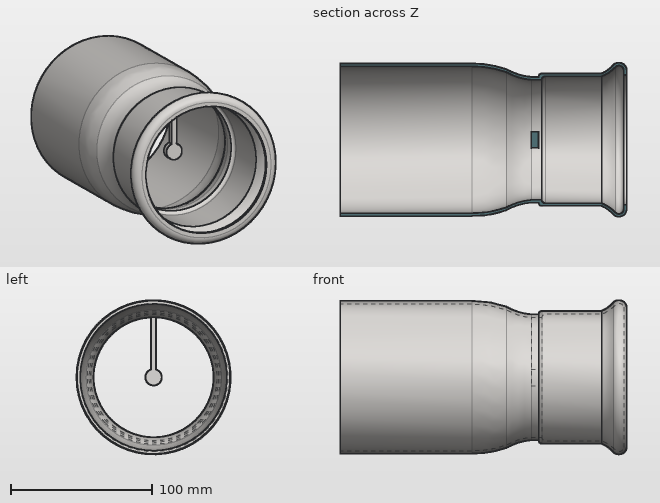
import cadquery as cq
import math

length = 203.0
pipe_end = 93.2
shoulder_end = 117.5
neck_start = 135.2
socket_start = 140.5
flare_start = 185.1

pipe_radius = 54.2
shoulder_radius = 50.1
neck_radius = 44.7
socket_radius = 47.0
wall = 2.2
neck_sagitta = 1.0

rim_radius = 54.7
bead_radius = 5.7
bead_x = length - bead_radius
bead_center_radius = rim_radius - bead_radius
flare_angle = math.radians(135)
flare_sagitta = 0.6
mouth_radius = 45.9

tab_disc_radius = 5.9
tab_stem_width = 3.7


def bead_point(radius, angle):
    """Point on a bead circle, with the angle measured from +X."""
    return (
        bead_x + radius * math.cos(angle),
        bead_center_radius + radius * math.sin(angle),
    )


def bowed_midpoint(start, end, sagitta):
    """Arc midpoint, bowed toward the axis from the chord."""
    dx = end[0] - start[0]
    dy = end[1] - start[1]
    chord = math.hypot(dx, dy)
    return (
        (start[0] + end[0]) / 2 + sagitta * dy / chord,
        (start[1] + end[1]) / 2 - sagitta * dx / chord,
    )


def revolve_profile(inset):
    """Solid of revolution of the fitting's form, moved inward by inset."""
    bead = bead_radius - inset
    shoulder = (shoulder_end, shoulder_radius - inset)
    neck = (neck_start, neck_radius - inset)
    corner_radius = socket_radius - neck_radius
    corner_x = socket_start + inset
    corner_mid = (
        corner_x + corner_radius * (1 - math.sqrt(0.5)),
        neck_radius - inset + corner_radius * math.sqrt(0.5),
    )
    socket_corner = (corner_x + corner_radius, socket_radius - inset)
    flare = (flare_start, socket_radius - inset)
    bead_start = bead_point(bead, flare_angle)
    return (
        cq.Workplane("XY")
        .lineTo(0, pipe_radius - inset)
        .lineTo(pipe_end, pipe_radius - inset)
        .tangentArcPoint(shoulder, relative=False)
        .threePointArc(bowed_midpoint(shoulder, neck, neck_sagitta), neck)
        .lineTo(corner_x, neck_radius - inset)
        .threePointArc(corner_mid, socket_corner)
        .lineTo(*flare)
        .threePointArc(bowed_midpoint(flare, bead_start, flare_sagitta), bead_start)
        .threePointArc(bead_point(bead, flare_angle / 2), bead_point(bead, 0))
        .lineTo(length - inset, 0)
        .close()
        .revolve(360, (0, 0, 0), (1, 0, 0))
    )


def make_tab():
    """Disc on the axis, hung from the top of the neck by a straight stem."""
    thickness = socket_start - neck_start
    stem_height = neck_radius - wall / 2
    plane = cq.Workplane("YZ", origin=(neck_start, 0, 0))
    disc = plane.circle(tab_disc_radius).extrude(thickness)
    stem = (
        plane.center(0, stem_height / 2)
        .rect(tab_stem_width, stem_height)
        .extrude(thickness)
    )
    return disc.union(stem)


mouth = cq.Workplane("YZ", origin=(bead_x, 0, 0)).circle(mouth_radius).extrude(bead_radius)

shell = revolve_profile(0).cut(revolve_profile(wall)).cut(mouth)
result = shell.union(make_tab())